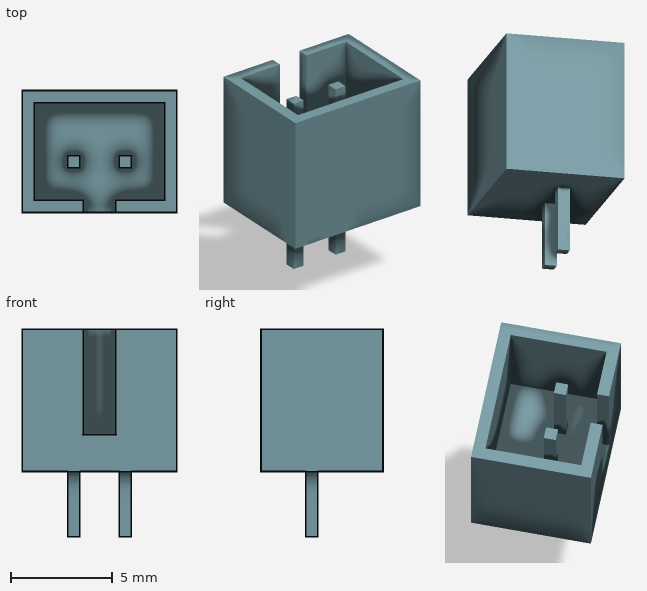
import cadquery as cq

body_width = 7.6
body_depth = 6.0
body_height = 7.0
wall = 0.6

slot_width = 1.6
slot_depth = 5.2
floor_thickness = body_height - slot_depth

pin_count = 2
pin_pitch = 2.54
pin_size = 0.6
pin_tail = 3.2
pin_top = 6.0
pin_from_front = 2.5

front_y = -body_depth / 2


def make_shroud():
    """Rectangular box with a pocket open at the top."""
    outer = cq.Workplane("XY").box(
        body_width, body_depth, body_height, centered=(True, True, False)
    )
    pocket = (
        cq.Workplane("XY")
        .workplane(offset=floor_thickness)
        .rect(body_width - 2 * wall, body_depth - 2 * wall)
        .extrude(slot_depth)
    )
    return outer.cut(pocket)


def make_key_slot():
    """Cutter for the slot through the front wall."""
    return (
        cq.Workplane("XY")
        .workplane(offset=floor_thickness)
        .center(0, front_y + wall / 2)
        .rect(slot_width, wall)
        .extrude(slot_depth)
    )


def make_pins():
    """Row of square pins passing through the floor."""
    return (
        cq.Workplane("XY")
        .workplane(offset=-pin_tail)
        .center(0, front_y + pin_from_front)
        .rarray(pin_pitch, pin_pitch, pin_count, 1)
        .rect(pin_size, pin_size)
        .extrude(pin_tail + pin_top)
    )


result = make_shroud().cut(make_key_slot()).union(make_pins())